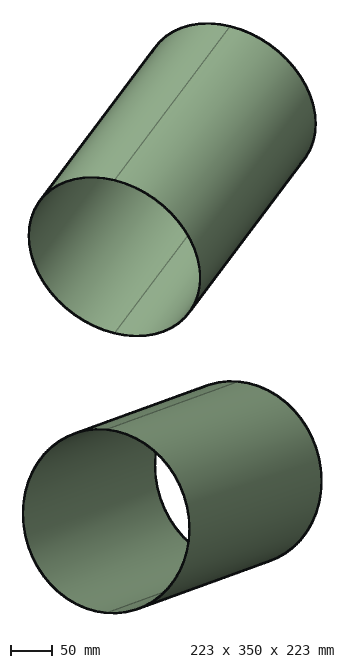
import cadquery as cq

length = 350.0
outer_diameter = 223.0
wall = 0.1

outer_radius = outer_diameter / 2
inner_radius = outer_radius - wall


def half_tube(side):
    """Half of the tube wall, on the +X (side = 1) or -X (side = -1) side."""
    profile = (
        cq.Workplane("XZ", origin=(0, length / 2, 0))
        .moveTo(0, outer_radius)
        .threePointArc((side * outer_radius, 0), (0, -outer_radius))
        .lineTo(0, -inner_radius)
        .threePointArc((side * inner_radius, 0), (0, inner_radius))
        .close()
    )
    return profile.extrude(length)


result = half_tube(1).union(half_tube(-1), clean=False)